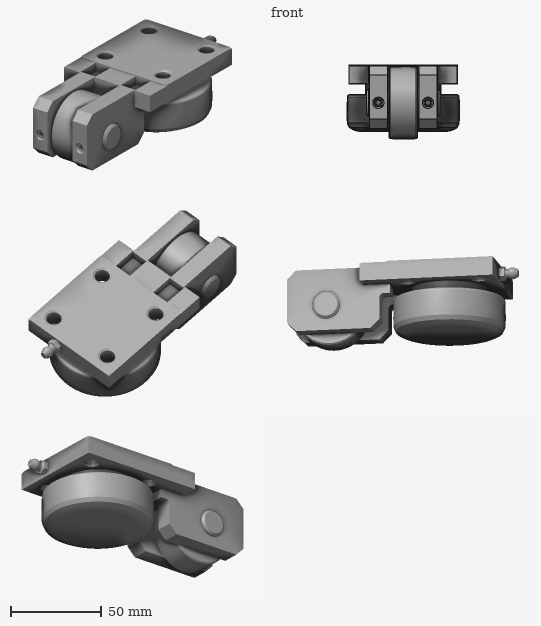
import cadquery as cq
import math


overall_length = 128.5

pad_size = 60.0
pad_height = 0.5
pad_corner_radius = 2.0
plate_bottom = -10.5
plate_front = -45.0
pad_rear = pad_size / 2
pad_front = -pad_size / 2
plate_top = -pad_height

hole_spacing = 40.0
hole_diameter = 8.5
hole_mouth_diameter = 10.8
hole_mouth_angle = 120

arm_inner = 8.7
arm_outer = 18.8
arm_front = -88.0
arm_rear = -36.0
arm_bottom = -35.1
arm_chamfer = 5.0
arm_top_rear = -44.0
tongue_top = -6.0
tongue_bottom = -15.5
tongue_fillet = 2.5
notch_gap = 0.4
arm_width = arm_outer - arm_inner
arm_center = (arm_inner + arm_outer) / 2

pin_y = -65.9
pin_z = -21.0
pin_diameter = 15.2
pin_length = 40.9
pin_chamfer = 1.2
pin_recess_diameter = 16.2
pin_recess_depth = 0.5
front_roller_crown_radius = 20.0
front_roller_rim_radius = 19.9
front_roller_width = 15.9
front_roller_chamfer = 0.8
hub_diameter = 22.1
recess_diameter = 29.3
recess_depth = 0.4

socket_mouth_diameter = 6.2
socket_floor_diameter = 4.4
socket_depth = 0.9
socket_bore_diameter = 3.0
socket_bore_depth = 2.6

axle_radius = 21.0
roller_top = -16.5
roller_bottom = -36.8
crown_radius = 31.2
rim_radius = 31.0
rim_top = -18.0
rim_bottom = -32.3
shoulder_radius = 29.8
shoulder_z = -34.7
dome_start_radius = 21.8
dome_mid_radius = 26.7
dome_mid_z = -36.2
top_face_radius = rim_radius - (roller_top - rim_top)
quarter_arc_factor = math.sqrt(0.5)

nipple_x = 9.1
nipple_z = -5.3
nipple_hex_flats = 7.1
nipple_hex_length = 3.1
nipple_cone_radius = 3.3
nipple_neck_radius = 2.5
nipple_neck_y = 4.6
nipple_head_base_radius = 2.7
nipple_head_base_y = 5.3
nipple_head_radius = 3.3
nipple_head_y = 7.1
nipple_shoulder_radius = 3.0
nipple_shoulder_y = 8.7
nipple_tip_radius = 2.0
nipple_length = overall_length + arm_front - pad_rear


def box_between(x_range, y_range, z_range):
    """Box that spans the given (low, high) ranges."""
    sizes = [high - low for low, high in (x_range, y_range, z_range)]
    corner = (x_range[0], y_range[0], z_range[0])
    return cq.Workplane("XY").box(*sizes, centered=False).translate(corner)


def cylinder_along_x(diameter, length, center_x=0):
    """Cylinder on the pin axis, centred at center_x."""
    start_x = center_x - length / 2
    return cq.Workplane("YZ", origin=(start_x, pin_y, pin_z)).circle(diameter / 2).extrude(length)


def make_plate():
    """Plate with its raised pad and a notch for each fork arm."""
    half_width = pad_size / 2
    plate = box_between((-half_width, half_width), (plate_front, pad_rear), (plate_bottom, plate_top))
    pad = box_between((-half_width, half_width), (pad_front, pad_rear), (plate_top, 0))
    plate = plate.union(pad.edges("|Z").fillet(pad_corner_radius))
    notch_outer = arm_outer + notch_gap
    for x_range in ((arm_inner, notch_outer), (-notch_outer, -arm_inner)):
        plate = plate.cut(box_between(x_range, (plate_front, pad_front), (plate_bottom, plate_top)))
    return plate


def make_arm(center_x):
    """Fork arm with a rear tongue that fills the lower part of the notch."""
    return (
        cq.Workplane("YZ", origin=(center_x - arm_width / 2, 0, 0))
        .moveTo(arm_top_rear, plate_top)
        .lineTo(arm_front + arm_chamfer, plate_top)
        .lineTo(arm_front, plate_top - arm_chamfer)
        .lineTo(arm_front, arm_bottom + arm_chamfer)
        .lineTo(arm_front + arm_chamfer, arm_bottom)
        .lineTo(arm_rear - arm_chamfer, arm_bottom)
        .lineTo(arm_rear, arm_bottom + arm_chamfer)
        .lineTo(arm_rear, tongue_bottom - tongue_fillet)
        .radiusArc((arm_rear + tongue_fillet, tongue_bottom), tongue_fillet)
        .lineTo(pad_front, tongue_bottom)
        .lineTo(pad_front, tongue_top)
        .lineTo(arm_top_rear, tongue_top)
        .close()
        .extrude(arm_width)
    )


def make_axle():
    """Axle stub that runs from the plate to the bottom of the support roller."""
    return (
        cq.Workplane("XY", origin=(0, 0, roller_bottom))
        .circle(axle_radius)
        .extrude(plate_bottom - roller_bottom)
    )


def make_nipple():
    """Hexagon base and turned head, pointing to the rear."""
    hexagon = (
        cq.Workplane("XZ")
        .polygon(6, nipple_hex_flats / math.cos(math.pi / 6))
        .extrude(-nipple_hex_length)
        .rotate((0, 0, 0), (0, 1, 0), 90)
    )
    head = (
        cq.Workplane("XY")
        .moveTo(0, nipple_hex_length)
        .lineTo(nipple_cone_radius, nipple_hex_length)
        .threePointArc((nipple_neck_radius, nipple_neck_y), (nipple_head_base_radius, nipple_head_base_y))
        .threePointArc((nipple_head_radius, nipple_head_y), (nipple_shoulder_radius, nipple_shoulder_y))
        .lineTo(nipple_tip_radius, nipple_length)
        .lineTo(0, nipple_length)
        .close()
        .revolve(360, (0, 0, 0), (0, 1, 0))
    )
    return hexagon.union(head).translate((nipple_x, pad_rear, nipple_z))


def cut_mounting_holes(frame):
    """Four chamfered through holes in the pad."""
    return (
        frame.faces(">Z")
        .workplane(origin=(0, 0, 0))
        .rect(hole_spacing, hole_spacing, forConstruction=True)
        .vertices()
        .cskHole(hole_diameter, hole_mouth_diameter, hole_mouth_angle, depth=-plate_bottom)
    )


def make_socket(center_x):
    """Conical mouth and bore of a screw socket, pointing to the rear."""
    mouth = (
        cq.Workplane("XZ", origin=(center_x, arm_front, pin_z))
        .circle(socket_mouth_diameter / 2)
        .workplane(offset=-socket_depth)
        .circle(socket_floor_diameter / 2)
        .loft()
    )
    bore = (
        cq.Workplane("XZ", origin=(center_x, arm_front, pin_z))
        .circle(socket_bore_diameter / 2)
        .extrude(-socket_bore_depth)
    )
    return mouth.union(bore)


def make_frame():
    """Plate, axle stub, nipple and both fork arms as one body."""
    frame = cut_mounting_holes(make_plate())
    frame = frame.union(make_axle()).union(make_nipple())
    for side in (-1, 1):
        frame = frame.union(make_arm(side * arm_center)).cut(make_socket(side * arm_center))
    frame = frame.cut(cylinder_along_x(pin_diameter, 2 * arm_outer))
    for side in (-1, 1):
        frame = frame.cut(cylinder_along_x(pin_recess_diameter, 2 * pin_recess_depth, side * arm_outer))
    return frame


def make_pin():
    """Chamfered pin through both arms and the front roller."""
    return cylinder_along_x(pin_diameter, pin_length).faces("|X").edges().chamfer(pin_chamfer)


def make_front_roller():
    """Crowned roller with a hub that reaches both arms and a shallow ring recess on each side."""
    half_width = front_roller_width / 2
    rim_x = half_width - front_roller_chamfer
    side_radius = front_roller_rim_radius - front_roller_chamfer
    roller = (
        cq.Workplane("XY")
        .moveTo(-half_width, 0)
        .lineTo(-half_width, side_radius)
        .lineTo(-rim_x, front_roller_rim_radius)
        .threePointArc((0, front_roller_crown_radius), (rim_x, front_roller_rim_radius))
        .lineTo(half_width, side_radius)
        .lineTo(half_width, 0)
        .close()
        .revolve(360, (0, 0, 0), (1, 0, 0))
        .translate((0, pin_y, pin_z))
    )
    roller = roller.cut(
        cylinder_along_x(recess_diameter, front_roller_width).cut(
            cylinder_along_x(recess_diameter, front_roller_width - 2 * recess_depth)
        )
    )
    roller = roller.union(cylinder_along_x(hub_diameter, 2 * arm_inner))
    return roller.cut(cylinder_along_x(pin_diameter, 2 * arm_inner))


def make_support_roller():
    """Crowned roller with a domed lower edge, bored for the axle stub."""
    crown_z = (rim_top + rim_bottom) / 2
    corner = rim_radius - top_face_radius
    corner_mid = (top_face_radius + corner * quarter_arc_factor, rim_top + corner * quarter_arc_factor)
    return (
        cq.Workplane("XZ")
        .moveTo(axle_radius, roller_top)
        .lineTo(top_face_radius, roller_top)
        .threePointArc(corner_mid, (rim_radius, rim_top))
        .threePointArc((crown_radius, crown_z), (rim_radius, rim_bottom))
        .lineTo(shoulder_radius, shoulder_z)
        .threePointArc((dome_mid_radius, dome_mid_z), (dome_start_radius, roller_bottom))
        .lineTo(axle_radius, roller_bottom)
        .close()
        .revolve(360, (0, 0, 0), (0, 1, 0))
    )


frame = make_frame()
pin = make_pin()
front_roller = make_front_roller()
support_roller = make_support_roller()

result = cq.Compound.makeCompound([frame.val(), pin.val(), front_roller.val(), support_roller.val()])